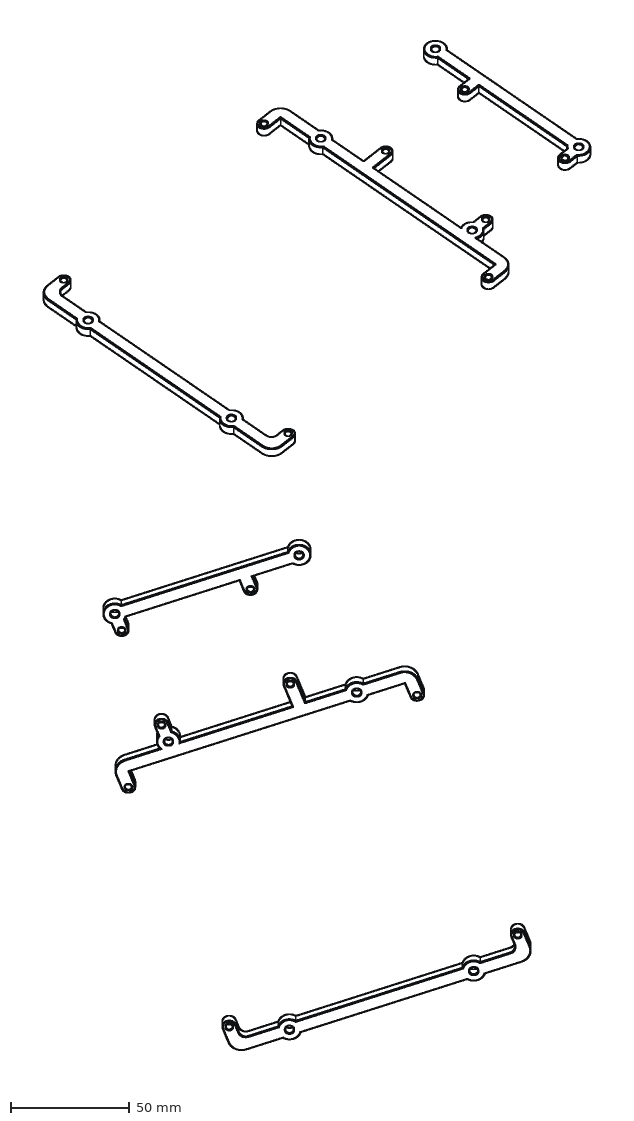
import cadquery as cq

THICKNESS = 5.0
STRIP_WIDTH = 6.0
EDGE_CHAMFER = 0.4
OVERALL_LENGTH = 136.0
OUTER_CORNER_RADIUS = 6.0
INNER_CORNER_RADIUS = 3.0

BOSS_DIAMETER = 10.0
BOSS_HOLE_DIAMETER = 3.4
BOSS_SPACING_X = 83.0
BOSS_SPACING_Y = 215.0

TIP_HOLE_DIAMETER = 2.7
BOARD_HOLE_SPACING_X = 58.0
BOARD_HOLE_SPACING_Y = 49.0

BOSS_RIGHT_X = BOSS_SPACING_X / 2
BOSS_LEFT_X = -BOSS_RIGHT_X
BOARD_RIGHT_X = BOSS_RIGHT_X
BOARD_LEFT_X = BOARD_RIGHT_X - BOARD_HOLE_SPACING_X
END_ARM_X = (OVERALL_LENGTH - STRIP_WIDTH) / 2

REAR_BAR_Y = BOSS_SPACING_Y / 2
REAR_ARM_LENGTH = 8.5
BOARD_REAR_Y = REAR_BAR_Y - REAR_ARM_LENGTH
BOARD_FRONT_Y = BOARD_REAR_Y - BOARD_HOLE_SPACING_Y
MIDDLE_RIGHT_BOSS_Y = BOARD_FRONT_Y - REAR_ARM_LENGTH
MIDDLE_BAR_DROP = 5.0
MIDDLE_BAR_Y = MIDDLE_RIGHT_BOSS_Y - MIDDLE_BAR_DROP
MIDDLE_END_ARM_LENGTH = 10.0
FRONT_BAR_Y = -REAR_BAR_Y
FRONT_END_ARM_LENGTH = 10.0


def bar(length, y):
    """Straight strip along X, centred on X = 0, with square ends."""
    return cq.Workplane("XY").center(0, y).rect(length, STRIP_WIDTH).extrude(THICKNESS)


def arm(x, start_y, tip_y):
    """Strip along Y from a bar's centre line to a rounded tip."""
    shank = (
        cq.Workplane("XY")
        .center(x, (start_y + tip_y) / 2)
        .rect(STRIP_WIDTH, abs(tip_y - start_y))
        .extrude(THICKNESS)
    )
    tip = cq.Workplane("XY").center(x, tip_y).circle(STRIP_WIDTH / 2).extrude(THICKNESS)
    return shank.union(tip)


def bent_bar(y, tip_y, inner_radius=0.0):
    """Full-length bar with an arm at each end and rounded outer corners."""
    side = 1 if tip_y > y else -1
    outer_edge_y = y - side * STRIP_WIDTH / 2
    inner_edge_y = y + side * STRIP_WIDTH / 2
    outer_x = END_ARM_X + STRIP_WIDTH / 2
    inner_x = END_ARM_X - STRIP_WIDTH / 2
    outline = (
        bar(OVERALL_LENGTH, y)
        .union(arm(-END_ARM_X, y, tip_y))
        .union(arm(END_ARM_X, y, tip_y))
        .clean()
    )
    for x in (-outer_x, outer_x):
        outline = outline.edges(cq.NearestToPointSelector((x, outer_edge_y, THICKNESS / 2))).fillet(
            OUTER_CORNER_RADIUS
        )
    if inner_radius > 0:
        for x in (-inner_x, inner_x):
            outline = outline.edges(cq.NearestToPointSelector((x, inner_edge_y, THICKNESS / 2))).fillet(
                inner_radius
            )
    return outline


def finish_bracket(outline, boss_points, tip_points):
    """Add the bosses, drill all holes, then chamfer every top and bottom edge."""
    bosses = cq.Workplane("XY").pushPoints(boss_points).circle(BOSS_DIAMETER / 2).extrude(THICKNESS)
    boss_holes = cq.Workplane("XY").pushPoints(boss_points).circle(BOSS_HOLE_DIAMETER / 2).extrude(THICKNESS)
    tip_holes = cq.Workplane("XY").pushPoints(tip_points).circle(TIP_HOLE_DIAMETER / 2).extrude(THICKNESS)
    blank = outline.union(bosses).clean().cut(boss_holes).cut(tip_holes)
    return blank.faces("<Z or >Z").edges().chamfer(EDGE_CHAMFER)


rear_bosses = [(BOSS_LEFT_X, REAR_BAR_Y), (BOSS_RIGHT_X, REAR_BAR_Y)]
rear_tips = [(BOARD_LEFT_X, BOARD_REAR_Y), (BOARD_RIGHT_X, BOARD_REAR_Y)]
rear_outline = bar(BOSS_SPACING_X, REAR_BAR_Y)
for tip_x, tip_y in rear_tips:
    rear_outline = rear_outline.union(arm(tip_x, REAR_BAR_Y, tip_y))
rear_bracket = finish_bracket(rear_outline, rear_bosses, rear_tips)

middle_bosses = [(BOSS_LEFT_X, MIDDLE_BAR_Y), (BOSS_RIGHT_X, MIDDLE_RIGHT_BOSS_Y)]
middle_end_y = MIDDLE_BAR_Y - MIDDLE_END_ARM_LENGTH
middle_board_tips = [(BOARD_LEFT_X, BOARD_FRONT_Y), (BOARD_RIGHT_X, BOARD_FRONT_Y)]
middle_end_tips = [(-END_ARM_X, middle_end_y), (END_ARM_X, middle_end_y)]
middle_outline = bent_bar(MIDDLE_BAR_Y, middle_end_y)
for tip_x, tip_y in middle_board_tips:
    middle_outline = middle_outline.union(arm(tip_x, MIDDLE_BAR_Y, tip_y))
middle_bracket = finish_bracket(middle_outline, middle_bosses, middle_board_tips + middle_end_tips)

front_bosses = [(BOSS_LEFT_X, FRONT_BAR_Y), (BOSS_RIGHT_X, FRONT_BAR_Y)]
front_end_y = FRONT_BAR_Y + FRONT_END_ARM_LENGTH
front_tips = [(-END_ARM_X, front_end_y), (END_ARM_X, front_end_y)]
front_outline = bent_bar(FRONT_BAR_Y, front_end_y, INNER_CORNER_RADIUS)
front_bracket = finish_bracket(front_outline, front_bosses, front_tips)

result = cq.Compound.makeCompound([rear_bracket.val(), middle_bracket.val(), front_bracket.val()])